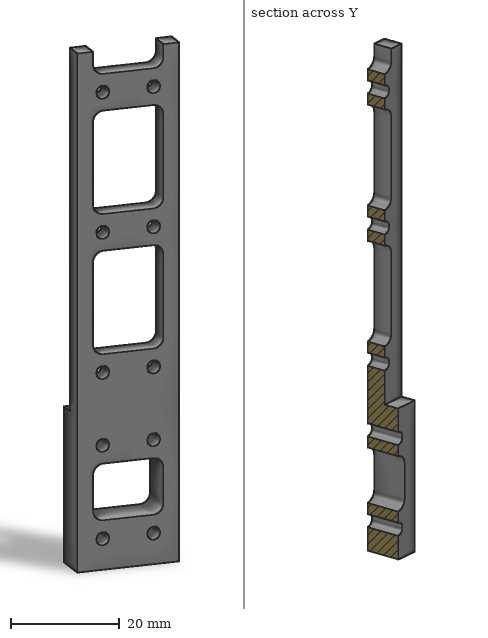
import cadquery as cq

width = 20.0
length = 100.0
plate_thickness = 4.0
pad_thickness = 3.1
pad_height = 30.0

hole_diameter = 2.5
hole_spacing = 10.0
pad_hole_heights = [6.0, 24.0]
plate_hole_heights = [38.0, 65.0, 92.0]

window_width = 13.8
window_corner_radius = 2.0
hole_to_window = 3.55
notch_floor = plate_hole_heights[-1] + hole_to_window

total_thickness = pad_thickness + plate_thickness


def make_body():
    """Thin full-length plate with a thicker pad on the -X side of its lower end."""
    return (
        cq.Workplane("XZ", origin=(0, width / 2, 0))
        .moveTo(0, 0)
        .lineTo(total_thickness, 0)
        .lineTo(total_thickness, length)
        .lineTo(pad_thickness, length)
        .lineTo(pad_thickness, pad_height)
        .lineTo(0, pad_height)
        .close()
        .extrude(width)
    )


def make_hole_pair(height):
    """Cutter through the full thickness for two screw holes at the given height."""
    return (
        cq.Workplane("YZ", origin=(0, 0, height))
        .pushPoints([(-hole_spacing / 2, 0), (hole_spacing / 2, 0)])
        .circle(hole_diameter / 2)
        .extrude(total_thickness)
    )


def make_window(bottom, top):
    """Cutter for a rounded rectangular window between two heights."""
    return (
        cq.Workplane("YZ", origin=(0, 0, (bottom + top) / 2))
        .rect(window_width, top - bottom)
        .extrude(total_thickness)
        .edges("|X")
        .fillet(window_corner_radius)
    )


def cut_windows(body, hole_heights):
    """Cut one window between each two neighbouring hole rows."""
    for lower_row, upper_row in zip(hole_heights, hole_heights[1:]):
        body = body.cut(make_window(lower_row + hole_to_window, upper_row - hole_to_window))
    return body


def cut_notch(body):
    """Cut the top notch: a window left open by running past the end of the plate."""
    notch_top = length + 2 * window_corner_radius
    return body.cut(make_window(notch_floor, notch_top))


result = make_body()
for row_height in pad_hole_heights + plate_hole_heights:
    result = result.cut(make_hole_pair(row_height))
result = cut_windows(result, pad_hole_heights)
result = cut_windows(result, plate_hole_heights)
result = cut_notch(result)